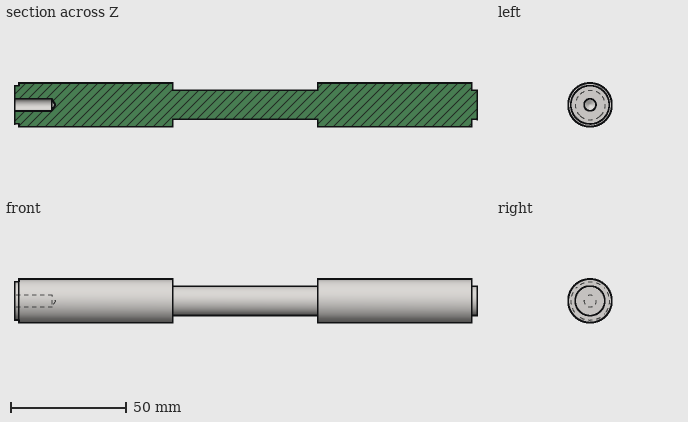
import cadquery as cq
import math

total_length = 201
collar_length = 1.8
sleeve_length = 67.0
stub_length = 2.5

sleeve_diameter = 19.0
shaft_diameter = 12.9
collar_diameter = 16.7

hole_diameter = 5.2
hole_depth = 16
drill_point_angle = 118

left_end = -total_length / 2
right_end = total_length / 2
left_sleeve_start = left_end + collar_length
right_sleeve_end = right_end - stub_length
right_sleeve_start = right_sleeve_end - sleeve_length


def cylinder(start, length, diameter):
    """Solid cylinder on the X axis, running toward +X from start."""
    return cq.Workplane("YZ", origin=(start, 0, 0)).circle(diameter / 2).extrude(length)


def drilled_hole():
    """Cylindrical hole with a conical bottom, entering at the -X end."""
    radius = hole_diameter / 2
    point_length = radius / math.tan(math.radians(drill_point_angle / 2))
    bottom = left_end + hole_depth
    return (
        cq.Workplane("XY")
        .moveTo(left_end, 0)
        .lineTo(left_end, radius)
        .lineTo(bottom, radius)
        .lineTo(bottom + point_length, 0)
        .close()
        .revolve(360, (0, 0, 0), (1, 0, 0))
    )


body = cylinder(left_end, total_length, shaft_diameter)
body = body.union(cylinder(left_end, collar_length, collar_diameter))
for sleeve_start in (left_sleeve_start, right_sleeve_start):
    body = body.union(cylinder(sleeve_start, sleeve_length, sleeve_diameter))

result = body.cut(drilled_hole())